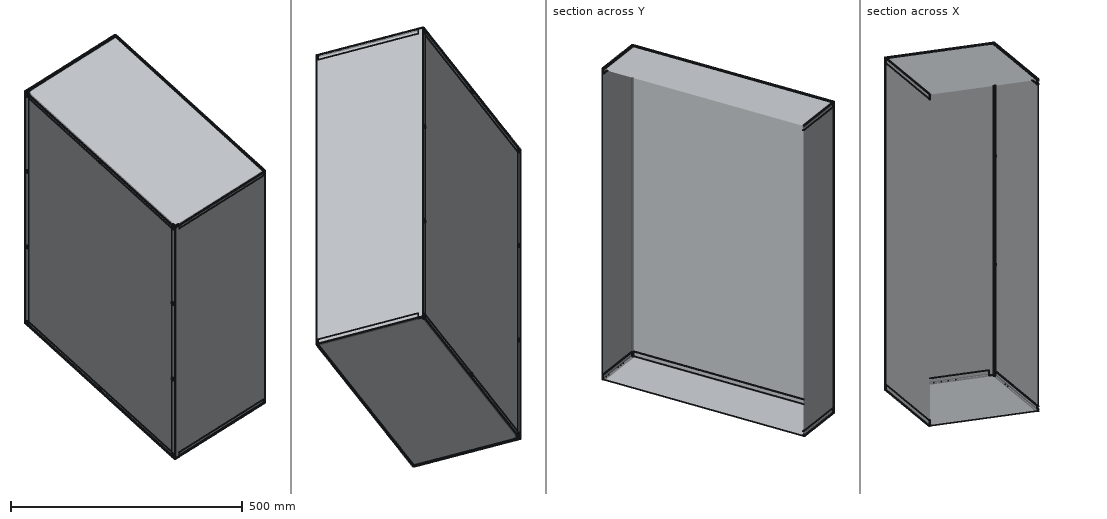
import cadquery as cq

width = 508.0
depth = 255.0
height = 762.0

sheet = 1.5
wide_bend_inner = 3.65 / 2
wide_bend_outer = wide_bend_inner + sheet
tight_bend_inner = 0.34 / 2
tight_bend_outer = tight_bend_inner + sheet

flange = 12.0
side_flange_setback = 13.0

cover_hole = 8.0
flange_hole = 4.3
screw_x = 246.0
screw_z = 373.0

half_width = width / 2
half_depth = depth / 2
half_height = height / 2
inner_half_width = half_width - sheet
inner_back = half_depth - sheet
cover_back = -half_depth + sheet
flange_back = cover_back + sheet
flange_gap_half_width = half_width - flange

cap_lip = half_height - flange
plate_half_width = inner_half_width - wide_bend_outer
plate_front = cover_back + wide_bend_outer
side_flange_front = -half_depth + side_flange_setback
side_flange_back = inner_back - wide_bend_outer

screw_points = [(x, z) for x in (-screw_x, screw_x) for z in (-screw_z, -screw_z / 3, screw_z / 3, screw_z)]
screw_points += [(0, -screw_z), (0, screw_z)]


def block(x0, x1, y0, y1, z0, z1):
    """Axis-aligned block between two opposite corners."""
    return cq.Workplane("XY", origin=(x0, y0, z0)).box(x1 - x0, y1 - y0, z1 - z0, centered=False)


def screw_drill(diameter):
    """Cylinders at every cover screw, through the cover and the flange behind it."""
    sketch = cq.Workplane("XZ", origin=(0, flange_back, 0)).pushPoints(screw_points)
    return sketch.circle(diameter / 2).extrude(2 * sheet)


def make_cover():
    """Flat front plate with the screw clearance holes."""
    plate = block(-half_width, half_width, -half_depth, cover_back, -half_height, half_height)
    return plate.cut(screw_drill(cover_hole))


def make_wrapper():
    """Back wall, side walls and inward front flanges, open at the top and bottom."""
    outer = block(-half_width, half_width, cover_back, half_depth, -half_height, half_height)
    outer = outer.edges("|Z").fillet(tight_bend_outer)
    cavity = block(-inner_half_width, inner_half_width, flange_back, inner_back, -half_height, half_height)
    cavity = cavity.edges("|Z").fillet(tight_bend_inner)
    gap = flange_gap_half_width
    opening = block(-gap, gap, cover_back, flange_back, -half_height, half_height)
    return outer.cut(cavity).cut(opening).cut(screw_drill(flange_hole))


def rounded_profile(plane, start, end, top, start_radius, end_radius):
    """Upright outline from the cap's lip to `top`, with its two upper corners rounded."""
    return (
        cq.Workplane(plane)
        .moveTo(start, cap_lip)
        .lineTo(start, top - start_radius)
        .radiusArc((start + start_radius, top), start_radius)
        .lineTo(end - end_radius, top)
        .radiusArc((end, top - end_radius), end_radius)
        .lineTo(end, cap_lip)
        .close()
    )


def cap_form(inset, wide_radius, tight_radius):
    """Solid under the cap's skin, inset from its outside: wide side and front bends, a tight back bend."""
    side = inner_half_width - inset
    top = half_height - inset
    across = rounded_profile("XZ", -side, side, top, wide_radius, wide_radius)
    along = rounded_profile("YZ", cover_back + inset, inner_back - inset, top, wide_radius, tight_radius)
    return across.extrude(half_depth, both=True).intersect(along.extrude(half_width, both=True))


def make_top_cap():
    """Top plate with flanges turned down on all four sides and notched corners."""
    outside = cap_form(0, wide_bend_outer, tight_bend_outer)
    cap = outside.cut(cap_form(sheet, wide_bend_inner, tight_bend_inner))
    notches = (
        (plate_half_width, cover_back, side_flange_front),
        (plate_half_width, side_flange_back, half_depth),
        (flange_gap_half_width, cover_back, plate_front),
    )
    for inner_x, front, back in notches:
        cap = cap.cut(block(inner_x, half_width, front, back, cap_lip, half_height))
        cap = cap.cut(block(-half_width, -inner_x, front, back, cap_lip, half_height))
    return cap.cut(screw_drill(flange_hole))


cover = make_cover()
wrapper = make_wrapper()
top_cap = make_top_cap()
bottom_cap = top_cap.mirror("XY")

result = cq.Compound.makeCompound([cover.val(), wrapper.val(), top_cap.val(), bottom_cap.val()])